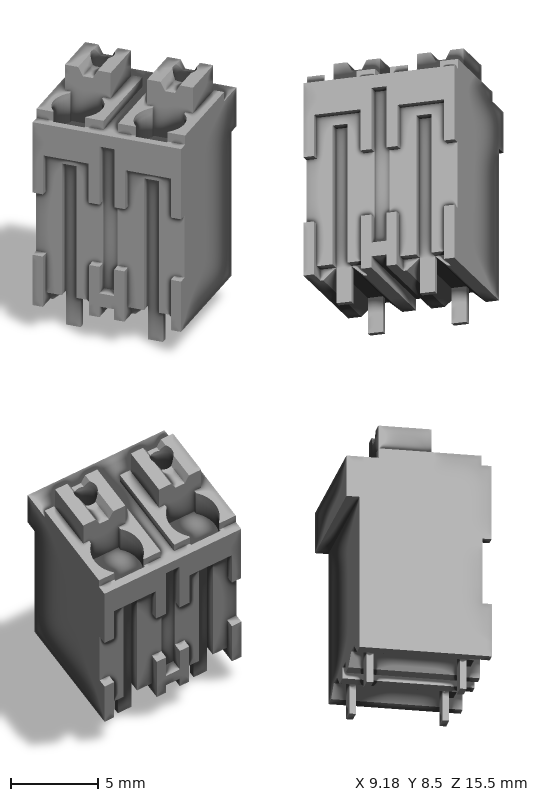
import cadquery as cq


width = 9.18
pole_pitch = 5.08
pole_centers = [-pole_pitch / 2, pole_pitch / 2]

bottom_z = 1.48
underside_z = 2.16
post_top_z = 4.71
leg_bottom_z = 8.7
overhang_z = 10.72
window_top_z = 11.2
shoulder_z = 13.21
island_top_z = 13.8
pocket_floor_z = 11.91

bar_front_y = 0.02
recess_y = 0.54
back_y = 7.72
overhang_back_y = 8.5
island_front_y = 0.62
island_back_y = 6.61

channel_width = 0.91
post_width = 0.63
center_channel_y = 0.71
center_channel_bottom_z = 3.01
center_channel_top_z = 12.42
pin_channel_top_z = 10.61
underside_mouth_width = 2.49

wire_opening_offset_x = -0.03
wire_opening_width = 3.0
wire_opening_center_y = 1.95
wire_neck_width = 1.98
wire_neck_half_length = 1.25
wire_opening_front_y = 0.51

lever_width = 2.83
lever_front_y = 3.4
lever_back_y = 6.5
lever_top_z = 15.45
lever_groove_floor_z = 14.91
lever_groove_top_width = 1.2
lever_groove_floor_width = 0.62
lever_hole_diameter = 1.4
lever_hole_offset_x = 0.05
lever_hole_y = 5.55

pin_thickness = 0.39
pin_top_z = 3.07
front_pin_y = 1.16
rear_pin_y = 6.61
pin_rows = [front_pin_y, rear_pin_y]


def block(x0, x1, y0, y1, z0, z1):
    """Box given by its limits along X, Y and Z."""
    return cq.Workplane("XY").box(x1 - x0, y1 - y0, z1 - z0, centered=False).translate((x0, y0, z0))


def centered_block(x, x_size, y0, y1, z0, z1):
    """Box centered on x, given by its limits along Y and Z."""
    return block(x - x_size / 2, x + x_size / 2, y0, y1, z0, z1)


def both_sides(shape):
    """The shape together with its mirror image across the middle of the block."""
    return shape.union(shape.mirror("YZ"))


def pin_blank(x, y):
    """Flat contact pin, also used to cut its own socket in the housing."""
    return centered_block(x, channel_width, y, y + pin_thickness, 0, pin_top_z)


def make_core():
    """Main block with the rear overhang and one raised island per pole."""
    core = centered_block(0, width, recess_y, back_y, bottom_z, shoulder_z)
    core = core.union(centered_block(0, width, recess_y, overhang_back_y, overhang_z, shoulder_z))
    island = block(channel_width / 2, width / 2, island_front_y, island_back_y, shoulder_z, island_top_z)
    return core.union(both_sides(island))


def add_front_frame(body):
    """Upper bar with its hanging legs, and the separate posts at the bottom."""
    frame = centered_block(0, width, bar_front_y, recess_y, leg_bottom_z, shoulder_z)
    for x in pole_centers:
        frame = frame.cut(centered_block(x, lever_width, bar_front_y, recess_y, leg_bottom_z, window_top_z))
    outer_post = block(width / 2 - post_width, width / 2, 0, recess_y, bottom_z, post_top_z)
    inner_posts = centered_block(0, channel_width + 2 * post_width, 0, recess_y, bottom_z, post_top_z)
    return body.union(frame).union(both_sides(outer_post)).union(inner_posts)


def cut_center_channel(body):
    """Blind front channel between the poles and the groove under the block in line with it."""
    channel = centered_block(0, channel_width, 0, center_channel_y,
                             center_channel_bottom_z, center_channel_top_z)
    groove = centered_block(0, channel_width, 0, back_y, bottom_z, underside_z)
    return body.cut(channel).cut(groove)


def cut_pin_spaces(body):
    """Front pin channels, flared underside grooves and the sockets that hold the pins."""
    for x in pole_centers:
        body = body.cut(centered_block(x, channel_width, recess_y, front_pin_y, underside_z, pin_channel_top_z))
        flare = (
            cq.Workplane("XZ")
            .moveTo(x - underside_mouth_width / 2, bottom_z)
            .lineTo(x + underside_mouth_width / 2, bottom_z)
            .lineTo(x + channel_width / 2, underside_z)
            .lineTo(x - channel_width / 2, underside_z)
            .close()
            .extrude(-back_y)
        )
        body = body.cut(flare)
        for y in pin_rows:
            body = body.cut(pin_blank(x, y))
    front_relief = block(channel_width / 2 + post_width, width / 2 - post_width,
                         0, front_pin_y, bottom_z, underside_z)
    return body.cut(both_sides(front_relief))


def wire_opening(x):
    """Well with straight necks at front and rear and a bulging arc on each side."""
    center_x = x + wire_opening_offset_x
    left_neck_x = center_x - wire_neck_width / 2
    right_neck_x = center_x + wire_neck_width / 2
    front_neck_y = wire_opening_center_y - wire_neck_half_length
    rear_neck_y = wire_opening_center_y + wire_neck_half_length
    return (
        cq.Workplane("XY", origin=(0, 0, pocket_floor_z))
        .moveTo(left_neck_x, wire_opening_front_y)
        .lineTo(right_neck_x, wire_opening_front_y)
        .lineTo(right_neck_x, front_neck_y)
        .threePointArc((center_x + wire_opening_width / 2, wire_opening_center_y), (right_neck_x, rear_neck_y))
        .lineTo(right_neck_x, lever_front_y)
        .lineTo(left_neck_x, lever_front_y)
        .lineTo(left_neck_x, rear_neck_y)
        .threePointArc((center_x - wire_opening_width / 2, wire_opening_center_y), (left_neck_x, front_neck_y))
        .close()
        .extrude(island_top_z - pocket_floor_z)
    )


def cut_top_openings(body):
    """Lever pocket and wire opening of each pole, on one common floor."""
    for x in pole_centers:
        pocket = centered_block(x, lever_width, lever_front_y, island_back_y, pocket_floor_z, island_top_z)
        body = body.cut(pocket).cut(wire_opening(x))
    return body


def make_housing():
    body = add_front_frame(make_core())
    body = cut_center_channel(body)
    body = cut_pin_spaces(body)
    return cut_top_openings(body)


def make_lever(x):
    """Push lever with a flared groove across its top and a round tool hole."""
    lever = centered_block(x, lever_width, lever_front_y, lever_back_y, pocket_floor_z, lever_top_z)
    groove = (
        cq.Workplane("XZ", origin=(0, lever_front_y, 0))
        .moveTo(x - lever_groove_top_width / 2, lever_top_z)
        .lineTo(x - lever_groove_floor_width / 2, lever_groove_floor_z)
        .lineTo(x + lever_groove_floor_width / 2, lever_groove_floor_z)
        .lineTo(x + lever_groove_top_width / 2, lever_top_z)
        .close()
        .extrude(lever_front_y - lever_back_y)
    )
    tool_hole = (
        cq.Workplane("XY", origin=(x + lever_hole_offset_x, lever_hole_y, pocket_floor_z))
        .circle(lever_hole_diameter / 2)
        .extrude(lever_top_z - pocket_floor_z)
    )
    return lever.cut(groove).cut(tool_hole)


housing = make_housing()
levers = [make_lever(x) for x in pole_centers]
pins = [pin_blank(x, y) for x in pole_centers for y in pin_rows]

result = cq.Compound.makeCompound([body.solids().val() for body in [housing, *levers, *pins]])